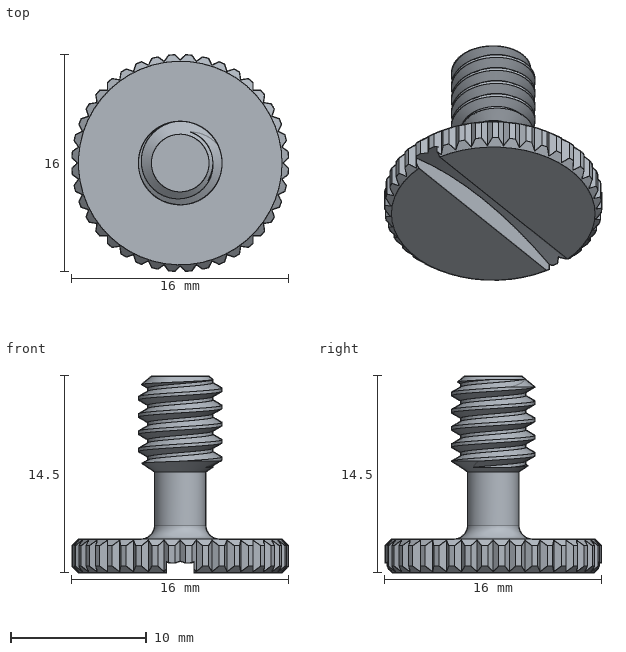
import cadquery as cq
import math

head_width = 15.98
total_height = 14.5

head_thickness = 2.5
head_chamfer = 0.5
tooth_count = 40
groove_depth = 0.4
half_width = head_width / 2
head_radius = math.hypot(half_width, groove_depth)

slot_width = 2.0
slot_depth = 2.0
slot_floor_radius = 25.57

shank_radius = 3.8 / 2
shank_fillet = 1.0

thread_radius = 6.17 / 2
thread_root_radius = 4.81 / 2
thread_length = 7.05
thread_crest_width = 0.24
thread_flank_angle = 30
tip_flat_radius = 2.13
end_cone_height = 0.78
thread_bottom = total_height - thread_length

groove_start_height = 6.52
groove_length = 8.88
groove_turns = 7
thread_pitch = groove_length / groove_turns
cutter_overshoot = 0.05


def head():
    """Chamfered disc with vertical V grooves around its rim."""
    disc = cq.Workplane("XY").circle(head_radius).extrude(head_thickness).edges().chamfer(head_chamfer)
    vertex_radius = half_width - groove_depth
    cutter_depth = 2 * groove_depth
    v_cutter = (
        cq.Workplane("XY")
        .moveTo(vertex_radius, 0)
        .lineTo(vertex_radius + cutter_depth, cutter_depth)
        .lineTo(vertex_radius + cutter_depth, -cutter_depth)
        .close()
        .extrude(head_thickness)
    )
    for index in range(tooth_count):
        turned = v_cutter.rotate((0, 0, 0), (0, 0, 1), index * 360 / tooth_count)
        disc = disc.cut(turned)
    return disc


def driver_slot():
    """Cutter for a slot along Y whose floor is an arc, deepest at the middle of the head."""
    return (
        cq.Workplane("YZ")
        .center(0, slot_depth - slot_floor_radius)
        .circle(slot_floor_radius)
        .extrude(slot_width / 2, both=True)
    )


def stem():
    """Filleted shank and unthreaded tip, turned about Z.

    The half turn puts the seam of the turned faces on the -X side, opposite the
    start of the thread groove, so that the groove cuts cleanly.
    """
    turned = (
        cq.Workplane("XZ")
        .moveTo(0, head_thickness)
        .lineTo(shank_radius + shank_fillet, head_thickness)
        .radiusArc((shank_radius, head_thickness + shank_fillet), shank_fillet)
        .lineTo(shank_radius, thread_bottom)
        .lineTo(thread_radius, thread_bottom + end_cone_height)
        .lineTo(thread_radius, total_height - end_cone_height)
        .lineTo(tip_flat_radius, total_height)
        .lineTo(0, total_height)
        .close()
        .revolve(360, (0, 0, 0), (0, 1, 0))
    )
    return turned.rotate((0, 0, 0), (0, 0, 1), 180)


def thread_groove():
    """Right-handed helical cutter with a 60 degree included angle and a flat root."""
    flank_slope = math.tan(math.radians(thread_flank_angle))
    mouth_half = (thread_pitch - thread_crest_width) / 2
    root_half = mouth_half - (thread_radius - thread_root_radius) * flank_slope
    outer_half = mouth_half + cutter_overshoot * flank_slope
    outer_radius = thread_radius + cutter_overshoot
    helix = cq.Wire.makeHelix(
        thread_pitch, groove_length, thread_root_radius, cq.Vector(0, 0, groove_start_height)
    )
    return (
        cq.Workplane("XZ")
        .moveTo(thread_root_radius, groove_start_height - root_half)
        .lineTo(outer_radius, groove_start_height - outer_half)
        .lineTo(outer_radius, groove_start_height + outer_half)
        .lineTo(thread_root_radius, groove_start_height + root_half)
        .close()
        .sweep(cq.Workplane("XY").newObject([helix]), isFrenet=True)
    )


threaded_stem = stem().cut(thread_groove())
result = head().cut(driver_slot()).union(threaded_stem)